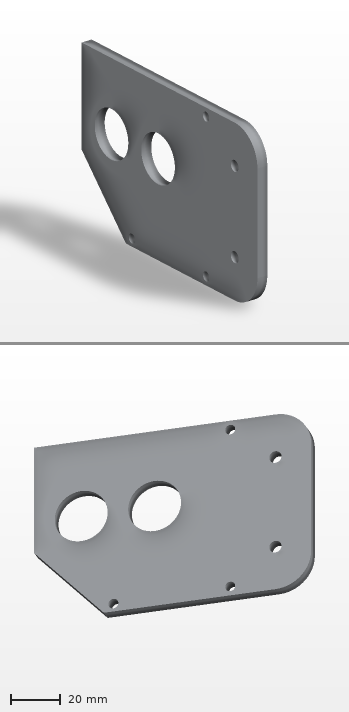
import cadquery as cq

length = 117.0
thickness = 5.0
height = 78.0
corner_radius = 15.0
cut_length = 29.5
cut_height = 31.0

large_diameter = 22.3
large_x = 19.9
large_spacing = 31.0
large_z = 44.6

end_diameter = 5.1
end_x = 101.9
end_spacing = 40.0
end_mid_z = height / 2

edge_diameter = 4.2
edge_x = 82.8
edge_inset = 4.0
corner_hole_x = 33.5
corner_hole_z = 3.5

large_holes = [(large_x, large_z), (large_x + large_spacing, large_z)]
end_holes = [(end_x, end_mid_z + side * end_spacing / 2) for side in (-1, 1)]
edge_holes = [
    (edge_x, edge_inset),
    (edge_x, height - edge_inset),
    (corner_hole_x, corner_hole_z),
]


def prism(sketch):
    """Extrude an XZ sketch through the plate thickness, toward +Y."""
    return sketch.extrude(-thickness)


def make_plate():
    """Plate with a sloped lower left corner and rounded right corners."""
    outline = (
        cq.Workplane("XZ")
        .moveTo(cut_length, 0)
        .lineTo(length, 0)
        .lineTo(length, height)
        .lineTo(0, height)
        .lineTo(0, cut_height)
        .close()
    )
    return prism(outline).edges("|Y and >X").fillet(corner_radius)


def make_holes(centres, diameter):
    """Cylinders that cut through holes at the given (X, Z) centres."""
    return prism(cq.Workplane("XZ").pushPoints(centres).circle(diameter / 2))


result = make_plate()
for centres, diameter in (
    (large_holes, large_diameter),
    (end_holes, end_diameter),
    (edge_holes, edge_diameter),
):
    result = result.cut(make_holes(centres, diameter))